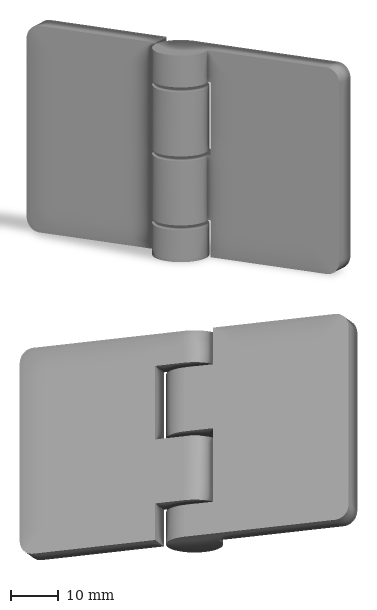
import cadquery as cq

hinge_width = 74.0
hinge_height = 45.0
leaf_thickness = 5.0
corner_radius = 3.0
barrel_diameter = 12.0
pin_diameter = 6.0
knuckle_gap = 1.0
barrel_clearance = 0.5
middle_knuckle_length = 14.0

barrel_radius = barrel_diameter / 2
leaf_edge = barrel_radius + barrel_clearance
leaf_width = hinge_width / 2 - leaf_edge
leaf_back = barrel_radius
end_knuckle_length = (hinge_height - 2 * middle_knuckle_length - 3 * knuckle_gap) / 2
knuckle_lengths = [
    end_knuckle_length,
    middle_knuckle_length,
    middle_knuckle_length,
    end_knuckle_length,
]


def cylinder(diameter, bottom, length):
    """Cylinder on the pin axis."""
    return cq.Workplane("XY").workplane(offset=bottom).circle(diameter / 2).extrude(length)


def leaf(side):
    """Flat leaf with rounded outer corners; side is -1 for left and +1 for right."""
    plate = (
        cq.Workplane("XY")
        .box(leaf_width, leaf_thickness, hinge_height)
        .translate((side * (leaf_edge + leaf_width / 2), leaf_back - leaf_thickness / 2, 0))
    )
    outer_face = ">X" if side > 0 else "<X"
    return plate.faces(outer_face).edges("|Y").fillet(corner_radius)


def knuckle(side, bottom, length):
    """Barrel section with the web that joins it to the leaf on its side."""
    web = (
        cq.Workplane("XY")
        .box(leaf_edge, leaf_thickness, length)
        .translate((side * leaf_edge / 2, leaf_back - leaf_thickness / 2, bottom + length / 2))
    )
    return cylinder(barrel_diameter, bottom, length).union(web)


result = cylinder(pin_diameter, -hinge_height / 2, hinge_height)
result = result.union(leaf(-1)).union(leaf(1))

knuckle_bottom = -hinge_height / 2
side = -1
for knuckle_length in knuckle_lengths:
    result = result.union(knuckle(side, knuckle_bottom, knuckle_length))
    knuckle_bottom += knuckle_length + knuckle_gap
    side = -side